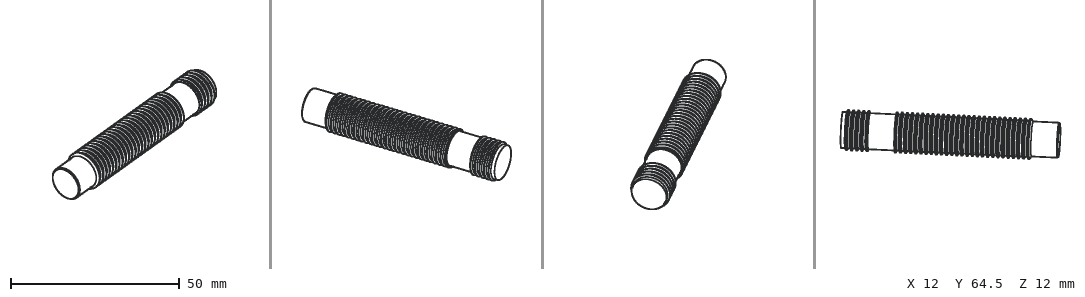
import cadquery as cq

length = 64.5
crest_diameter = 12.0
root_diameter = 10.8
tip_diameter = 10.45
tip_length = 8.0
tip_chamfer = 0.3
lead_in_length = 0.6

crest_width = 0.2
ring_base_width = 0.9
front_ring_count = 27
rear_ring_count = 5
first_front_ring_y = 8.8
last_front_ring_y = 48.4
first_rear_ring_y = 56.75
ring_pitch = (last_front_ring_y - first_front_ring_y) / (front_ring_count - 1)

waist_start_y = 48.6
waist_end_y = 56.4

window_diameter = 2.85
window_depth = 0.65
window_y = 53.2
window_count = 4

crest_radius = crest_diameter / 2
root_radius = root_diameter / 2
tip_radius = tip_diameter / 2


def ring_outline(center_y):
    """Radius and Y of the four corners of one ring, from its front to its rear."""
    return [
        (root_radius, center_y - ring_base_width / 2),
        (crest_radius, center_y - crest_width / 2),
        (crest_radius, center_y + crest_width / 2),
        (root_radius, center_y + ring_base_width / 2),
    ]


def make_ringed_shaft():
    """Solid of revolution with the tip, the lead-in cone and both ring groups."""
    outline = [
        (0, 0),
        (tip_radius - tip_chamfer, 0),
        (tip_radius, tip_chamfer),
        (tip_radius, tip_length),
        (crest_radius, tip_length + lead_in_length),
    ]
    outline += ring_outline(first_front_ring_y)[2:]
    for i in range(1, front_ring_count):
        outline += ring_outline(first_front_ring_y + i * ring_pitch)
    for i in range(rear_ring_count):
        outline += ring_outline(first_rear_ring_y + i * ring_pitch)
    outline += [(root_radius, length), (0, length)]
    return cq.Workplane("XY").polyline(outline).close().revolve(360, (0, 0), (0, 1))


def make_waist_sleeve():
    """Sleeve that trims the rings beside the waist down to the root diameter."""
    return (
        cq.Workplane("XZ", origin=(0, waist_start_y, 0))
        .circle(crest_diameter)
        .circle(root_radius)
        .extrude(waist_start_y - waist_end_y)
    )


def set_window(body, angle):
    """Mark one flush window, turned about the shaft axis away from +Z."""
    plug = (
        cq.Workplane("XY", origin=(0, window_y, root_radius - window_depth))
        .circle(window_diameter / 2)
        .extrude(crest_radius)
        .rotate((0, 0, 0), (0, 1, 0), angle)
    )
    return body.cut(plug, clean=False).union(body.intersect(plug), clean=False)


result = make_ringed_shaft().cut(make_waist_sleeve())
for i in range(window_count):
    result = set_window(result, i * 360 / window_count)
result = result.solids()